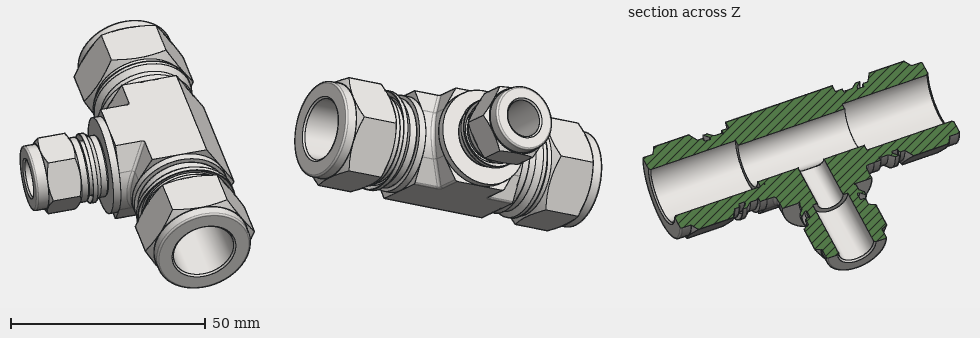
import cadquery as cq
import math


COS_30 = math.cos(math.radians(30))
TAN_30 = math.tan(math.radians(30))

BODY_FLATS = 25.3
COLLAR_DIAMETER = 25.2
BODY_REACH = 15.0
COLLAR_END = 16.95
INNER_FILLET = 0.8

EDGE_CHAMFER = 0.4
NOSE_FILLET = 0.5
MOUTH_CHAMFER = 0.5
FERRULE_LIP = 0.15
DISH_DEPTH = 1.25

RUN = dict(
    thread_diameter=23.5, ferrule_diameter=26.1, groove_diameter=22.2,
    neck_diameter=24.3, nut_flats=25.3, nose_diameter=25.0,
    cone_start=19.3, ferrule_start=20.8, ferrule_end=22.0,
    neck_start=22.3, nut_start=23.85, nut_end=36.25, tip=39.2,
    tube_diameter=16.1, tube_seat=15.0, flow_diameter=12.7,
)
BRANCH = dict(
    thread_diameter=16.1, ferrule_diameter=18.2, groove_diameter=14.3,
    neck_diameter=16.95, nut_flats=17.5, nose_diameter=16.95,
    cone_start=19.0, ferrule_start=20.2, ferrule_end=21.3,
    neck_start=22.1, nut_start=24.25, nut_end=33.1, tip=36.3,
    tube_diameter=9.7, tube_seat=19.0, flow_diameter=7.1,
)


def revolve_arm(profile):
    """Turn a closed (radius, distance) profile about the arm axis."""
    points = [(radius, -distance) for radius, distance in profile]
    return cq.Workplane("XY").polyline(points).close().revolve(360, (0, 0), (0, 1))


def extrude_arm(outline, start, end):
    """Extrude a closed outline from start to end along the arm."""
    return outline.extrude(end - start).translate((0, -start, 0))


def body_bar(rounded_sides):
    """Hexagonal bar whose listed corners (+1 or -1 along X) are rounded to the inscribed circle."""
    flat = BODY_FLATS / 2
    half_side = flat * TAN_30
    tangent_x = flat * COS_30
    tangent_z = flat / 2
    corner_x = flat / COS_30

    outline = cq.Workplane("XZ").moveTo(-half_side, flat).lineTo(half_side, flat)
    for side in (1, -1):
        if side in rounded_sides:
            outline = outline.lineTo(side * tangent_x, side * tangent_z)
            outline = outline.threePointArc((side * flat, 0), (side * tangent_x, -side * tangent_z))
        else:
            outline = outline.lineTo(side * corner_x, 0)
        if side == 1:
            outline = outline.lineTo(half_side, -flat).lineTo(-half_side, -flat)
    return outline.close()


def tee_body():
    run_bar = extrude_arm(body_bar([-1]), -BODY_REACH, BODY_REACH)
    run_bar = run_bar.rotate((0, 0, 0), (0, 0, 1), 90)
    branch_bar = extrude_arm(body_bar([1, -1]), 0, BODY_REACH)
    body = run_bar.union(branch_bar)

    flat = BODY_FLATS / 2
    nearest = flat * TAN_30 - INNER_FILLET / 2
    farthest = flat + INNER_FILLET / 2
    for side in (1, -1):
        corner_edges = cq.selectors.BoxSelector(
            (side * nearest, -nearest, -flat), (side * farthest, -farthest, flat)
        )
        body = body.edges(corner_edges).fillet(INNER_FILLET)
    return body


def nut_hexagon(end):
    """Hexagon of the nut, with both ends turned to 30 degree cones."""
    corner_radius = end["nut_flats"] / 2 / COS_30
    inner_radius = end["neck_diameter"] / 2
    outer_radius = end["nut_flats"] / 2
    hexagon = cq.Workplane("XZ").polygon(6, 2 * corner_radius)
    hexagon = extrude_arm(hexagon, end["nut_start"], end["nut_end"])
    envelope = revolve_arm([
        (0, end["nut_start"]),
        (inner_radius, end["nut_start"]),
        (corner_radius, end["nut_start"] + (corner_radius - inner_radius) * TAN_30),
        (corner_radius, end["nut_end"] - (corner_radius - outer_radius) * TAN_30),
        (outer_radius, end["nut_end"]),
        (0, end["nut_end"]),
    ])
    return hexagon.intersect(envelope)


def tube_end(end):
    """Collar, thread neck, ferrule with a dished back, groove and nut."""
    collar = COLLAR_DIAMETER / 2
    thread = end["thread_diameter"] / 2
    ferrule = end["ferrule_diameter"] / 2
    dish = ferrule - FERRULE_LIP
    groove = end["groove_diameter"] / 2
    neck = end["neck_diameter"] / 2
    nose = end["nose_diameter"] / 2
    turned = revolve_arm([
        (0, BODY_REACH),
        (collar, BODY_REACH),
        (collar, COLLAR_END),
        (thread - EDGE_CHAMFER, COLLAR_END),
        (thread, COLLAR_END + EDGE_CHAMFER),
        (thread, end["cone_start"]),
        (ferrule, end["ferrule_start"]),
        (ferrule, end["ferrule_end"]),
        (dish, end["ferrule_end"]),
        (dish - DISH_DEPTH, end["ferrule_end"] - DISH_DEPTH),
        (groove, end["ferrule_end"] - DISH_DEPTH),
        (groove, end["neck_start"]),
        (neck - EDGE_CHAMFER, end["neck_start"]),
        (neck, end["neck_start"] + EDGE_CHAMFER),
        (neck, end["nut_end"]),
        (0, end["nut_end"]),
    ])
    nut_nose = extrude_arm(cq.Workplane("XZ").circle(nose), end["nut_end"], end["tip"])
    nut_nose = nut_nose.faces("<Y").edges().fillet(NOSE_FILLET)
    return turned.union(nut_hexagon(end)).union(nut_nose)


def tube_bore(end):
    """Flow passage, wider tube socket and the chamfered mouth."""
    flow = end["flow_diameter"] / 2
    tube = end["tube_diameter"] / 2
    return revolve_arm([
        (0, 0),
        (flow, 0),
        (flow, end["tube_seat"]),
        (tube, end["tube_seat"]),
        (tube, end["tip"] - MOUTH_CHAMFER),
        (tube + MOUTH_CHAMFER, end["tip"]),
        (0, end["tip"]),
    ])


ARMS = [(RUN, 90), (RUN, -90), (BRANCH, 0)]

result = tee_body()
for end, turn in ARMS:
    result = result.union(tube_end(end).rotate((0, 0, 0), (0, 0, 1), turn))
for end, turn in ARMS:
    result = result.cut(tube_bore(end).rotate((0, 0, 0), (0, 0, 1), turn))